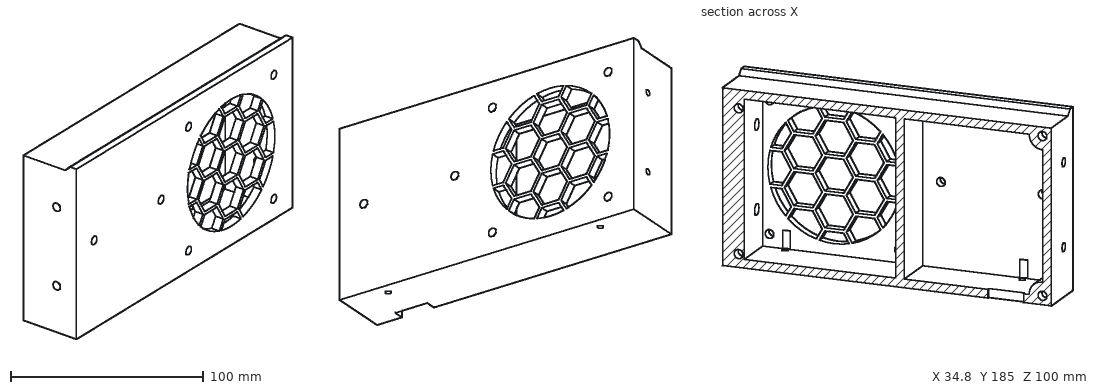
import cadquery as cq
import math

LENGTH_X = 34.81
LENGTH_Y = 185.01
HEIGHT = 100.0
WALL = 5.0
CAVITY_DEPTH = LENGTH_X - WALL

LIP_HEIGHT = 3.0
LIP_SLOPE_END = 30.4
LIP_SLOPE_START = LIP_SLOPE_END - LIP_HEIGHT
BODY_TOP = HEIGHT - LIP_HEIGHT

CAVITY_HEIGHT = 87.0
CAVITY_TOP = WALL + CAVITY_HEIGHT
FAN_CAVITY_WIDTH = 85.0
FAN_END_WALL = 12.4
FAN_CAVITY_END = LENGTH_Y - FAN_END_WALL
FAN_CAVITY_START = FAN_CAVITY_END - FAN_CAVITY_WIDTH
SIDE_CAVITY_END = FAN_CAVITY_START - WALL
CORNER_BOSS_RADIUS = 7.6

FAN_Y = 132.4
FAN_Z = 48.4
FAN_OPENING_DIAMETER = 74.6
FAN_HOLE_SPACING = 72.8
HONEYCOMB_PITCH = 20.1
HONEYCOMB_RIB = 1.8
HONEYCOMB_RINGS = 3
HEXAGON_SIDES = 6

SCREW_DIAMETER = 4.7
SCREW_DEPTH = 10.0
CLEARANCE_DIAMETER = 3.2
HEAD_DIAMETER = 6.0
HEAD_DEPTH = 3.0
FAN_SIDE_SCREW_INSET = 9.1
FAN_SIDE_SCREW_Y = LENGTH_Y - FAN_SIDE_SCREW_INSET
FAN_SIDE_SCREW_Z = (7.4, 86.8)
PANEL_HOLE_Y = (15.2, 72.4)
PANEL_HOLE_Z = 51.8
END_HOLE_X = 21.8
END_HOLE_Z = (27.3, 73.5)
BASE_HOLE_X = 27.8
BASE_HOLE_Y = (25.8, 159.2)
BASE_RELIEF_HEIGHT = 10.0

NOTCH_START_Y = 15.7
NOTCH_WIDTH = 20.0
NOTCH_DEPTH = 6.2


def box(x, y, z):
    """Box spanning the given (low, high) ranges."""
    size = (x[1] - x[0], y[1] - y[0], z[1] - z[0])
    return cq.Workplane("XY").box(*size, centered=False).translate((x[0], y[0], z[0]))


def rod_x(y, z, diameter, start, length):
    """Cylinder along +X."""
    return cq.Workplane("YZ", origin=(start, y, z)).circle(diameter / 2).extrude(length)


def make_body():
    profile = [
        (0, 0),
        (LENGTH_X, 0),
        (LENGTH_X, HEIGHT),
        (LIP_SLOPE_END, HEIGHT),
        (LIP_SLOPE_START, BODY_TOP),
        (0, BODY_TOP),
    ]
    return cq.Workplane("XZ").polyline(profile).close().extrude(-LENGTH_Y)


def make_cavities():
    depth = (0, CAVITY_DEPTH)
    height = (WALL, CAVITY_TOP)
    fan_cavity = box(depth, (FAN_CAVITY_START, FAN_CAVITY_END), height)
    side_cavity = box(depth, (WALL, SIDE_CAVITY_END), height)
    for z in height:
        side_cavity = side_cavity.cut(rod_x(WALL, z, 2 * CORNER_BOSS_RADIUS, 0, CAVITY_DEPTH))
    return fan_cavity.union(side_cavity)


def make_fan_opening():
    """Honeycomb of hexagonal prisms clipped to the round fan opening."""
    hexagon_diameter = (HONEYCOMB_PITCH - HONEYCOMB_RIB) / math.cos(math.pi / HEXAGON_SIDES)
    column_spacing = HONEYCOMB_PITCH * math.cos(math.pi / HEXAGON_SIDES)
    centres = []
    for column in range(-HONEYCOMB_RINGS, HONEYCOMB_RINGS + 1):
        for row in range(-HONEYCOMB_RINGS, HONEYCOMB_RINGS + 1):
            if abs(column + row) <= HONEYCOMB_RINGS:
                centres.append((column * column_spacing, (row + column / 2) * HONEYCOMB_PITCH))
    cells = (
        cq.Workplane("YZ", origin=(CAVITY_DEPTH, FAN_Y, FAN_Z))
        .pushPoints(centres)
        .polygon(HEXAGON_SIDES, hexagon_diameter)
        .extrude(WALL)
    )
    return cells.intersect(rod_x(FAN_Y, FAN_Z, FAN_OPENING_DIAMETER, CAVITY_DEPTH, WALL))


def cut_panel_holes(part):
    """Through holes in the back panel: four for the fan and two in the side cavity."""
    half = FAN_HOLE_SPACING / 2
    places = [(FAN_Y + dy, FAN_Z + dz) for dy in (-half, half) for dz in (-half, half)]
    places += [(y, PANEL_HOLE_Z) for y in PANEL_HOLE_Y]
    for y, z in places:
        part = part.cut(rod_x(y, z, SCREW_DIAMETER, CAVITY_DEPTH, WALL))
    return part


def cut_cover_screw_holes(part):
    """Blind holes in the open face, two of them centred on the corner bosses."""
    places = [(FAN_SIDE_SCREW_Y, z) for z in FAN_SIDE_SCREW_Z]
    places += [(WALL, z) for z in (WALL, CAVITY_TOP)]
    for y, z in places:
        part = part.cut(rod_x(y, z, SCREW_DIAMETER, 0, SCREW_DEPTH))
    return part


def rod_y(z, diameter, start, length):
    """Cylinder along +Y at the depth of the end holes."""
    base = cq.Workplane("XZ", origin=(END_HOLE_X, start, z))
    return base.circle(diameter / 2).extrude(-length)


def cut_end_holes(part):
    """Plain holes through the -Y wall and counterbored clearance holes through the +Y wall."""
    for z in END_HOLE_Z:
        part = part.cut(rod_y(z, SCREW_DIAMETER, 0, WALL))
        part = part.cut(rod_y(z, CLEARANCE_DIAMETER, LENGTH_Y - FAN_END_WALL, FAN_END_WALL))
        part = part.cut(rod_y(z, HEAD_DIAMETER, LENGTH_Y - FAN_END_WALL, HEAD_DEPTH))
    return part


def cut_base_holes(part):
    """Vertical screw holes through the floor, with head reliefs grooved into the back panel."""
    places = [(BASE_HOLE_X, y) for y in BASE_HOLE_Y]
    holes = cq.Workplane("XY").pushPoints(places).circle(CLEARANCE_DIAMETER / 2).extrude(WALL)
    reliefs = (
        cq.Workplane("XY", origin=(0, 0, WALL))
        .pushPoints(places)
        .circle(HEAD_DIAMETER / 2)
        .extrude(BASE_RELIEF_HEIGHT)
    )
    return part.cut(holes).cut(reliefs)


def cut_notch(part):
    return part.cut(box((0, NOTCH_DEPTH), (NOTCH_START_Y, NOTCH_START_Y + NOTCH_WIDTH), (0, WALL)))


result = make_body().cut(make_cavities()).cut(make_fan_opening())
result = cut_panel_holes(result)
result = cut_cover_screw_holes(result)
result = cut_end_holes(result)
result = cut_base_holes(result)
result = cut_notch(result)